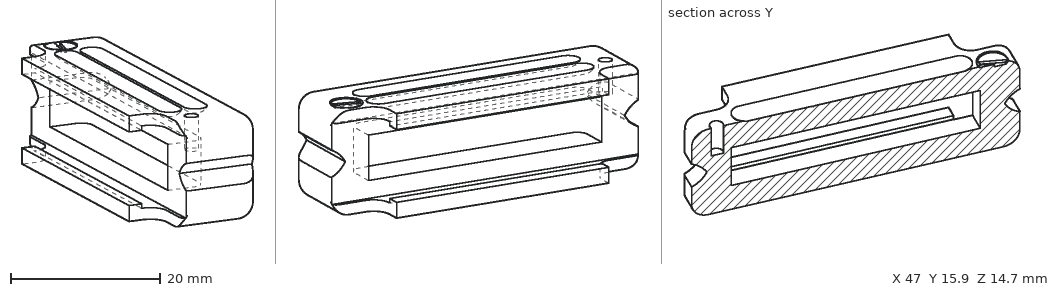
import cadquery as cq


length = 47.0
total_depth = 15.9
height = 14.7
outer_radius = 2.4
front_corner_radius = 1.0
top_z = height / 2

core_depth = 10.9
shoulder_depth = 11.45
tongue_width = 32.4
plate_gap = 11.45
lip_gap = 10.25
lip_length = 1.95

window_width = 35.55
window_height = 6.4
window_depth = 5.55
window_corner_radius = 1.6

notch_depth = 2.15
notch_height = 3.85
notch_arc_radius = 4.3

groove_straight_length = 31.0
groove_floor_width = 0.4
groove_wall_radius = 1.6
groove_depth = 0.9
groove_distances_from_back = (5.7, 9.5)

fastener_x = 19.8
fastener_y = -8.3
hole_diameter = 1.9
hole_depth = 4.7
head_rim_radius = 2.25
head_recess = 0.15
screw_slot_width = 0.7
screw_slot_depth = 0.55
screw_slot_angle = -13.0


def box_spanning(width, y_back, y_front, box_height):
    """Box centred on X = 0 and Z = 0 between two Y positions."""
    middle_y = (y_back + y_front) / 2
    return cq.Workplane("XY", origin=(0, middle_y, 0)).box(width, y_back - y_front, box_height)


def rounded_block():
    block = box_spanning(length, 0, -total_depth, height)
    return block.edges(">Y or |Y").fillet(outer_radius)


def plan_outline():
    """T-shaped plan: wide body with a narrower tongue joined by concave arcs."""
    half = length / 2
    half_tongue = tongue_width / 2
    arc_end_y = -shoulder_depth - outer_radius
    outline = (
        cq.Workplane("XY")
        .workplane(offset=-top_z)
        .moveTo(-half, 0)
        .lineTo(half, 0)
        .lineTo(half, front_corner_radius - shoulder_depth)
        .radiusArc((half - front_corner_radius, -shoulder_depth), front_corner_radius)
        .lineTo(half_tongue + outer_radius, -shoulder_depth)
        .radiusArc((half_tongue, arc_end_y), -outer_radius)
        .lineTo(half_tongue, -total_depth)
        .lineTo(-half_tongue, -total_depth)
        .lineTo(-half_tongue, arc_end_y)
        .radiusArc((-half_tongue - outer_radius, -shoulder_depth), -outer_radius)
        .lineTo(front_corner_radius - half, -shoulder_depth)
        .radiusArc((-half, front_corner_radius - shoulder_depth), front_corner_radius)
        .close()
    )
    return outline.extrude(height)


def front_gap():
    lip_back_y = lip_length - total_depth
    between_plates = box_spanning(length, -core_depth, lip_back_y, plate_gap)
    between_lips = box_spanning(length, lip_back_y, -total_depth, lip_gap)
    return between_plates.union(between_lips)


def window():
    window_back_y = window_depth - core_depth
    pocket = box_spanning(window_width, window_back_y, -core_depth, window_height)
    return pocket.edges("|Z and >Y").fillet(window_corner_radius)


def end_notch():
    """Pointed notch at the +X end, bounded by two arcs meeting at its tip."""
    half = length / 2
    tip = (half - notch_depth, 0)
    profile = (
        cq.Workplane("XZ")
        .moveTo(half, notch_height / 2)
        .radiusArc(tip, -notch_arc_radius)
        .radiusArc((half, -notch_height / 2), -notch_arc_radius)
        .close()
    )
    return profile.extrude(total_depth)


def grip_groove(distance_from_back):
    """Round-ended groove whose walls curve in to a narrow flat floor."""
    full_width = groove_floor_width + 2 * groove_wall_radius
    groove = (
        cq.Workplane("XY", origin=(0, -distance_from_back, top_z - groove_depth))
        .slot2D(groove_straight_length + full_width, full_width)
        .extrude(2 * groove_wall_radius)
    )
    return groove.faces("<Z").edges().fillet(groove_wall_radius)


def countersink(sink_depth):
    """45 degree cone frustum opening at the top face."""
    floor_radius = head_rim_radius - sink_depth
    return cq.Workplane(
        cq.Solid.makeCone(
            floor_radius,
            head_rim_radius,
            sink_depth,
            pnt=cq.Vector(-fastener_x, fastener_y, top_z - sink_depth),
        )
    )


def screw_head_recess():
    """Recess above the slotted head together with its driver slot."""
    slot_bar = (
        cq.Workplane("XY")
        .box(2 * head_rim_radius, screw_slot_width, 2 * screw_slot_depth)
        .rotate((0, 0, 0), (0, 0, 1), screw_slot_angle)
        .translate((-fastener_x, fastener_y, top_z))
    )
    return countersink(head_recess).union(countersink(screw_slot_depth).intersect(slot_bar))


def blind_hole():
    start = cq.Workplane("XY", origin=(fastener_x, fastener_y, top_z))
    return start.circle(hole_diameter / 2).extrude(-hole_depth)


result = rounded_block().intersect(plan_outline())
result = result.cut(front_gap()).cut(window())
result = result.cut(end_notch()).cut(end_notch().mirror("YZ"))
for groove_distance in groove_distances_from_back:
    result = result.cut(grip_groove(groove_distance))
result = result.cut(screw_head_recess()).cut(blind_hole())